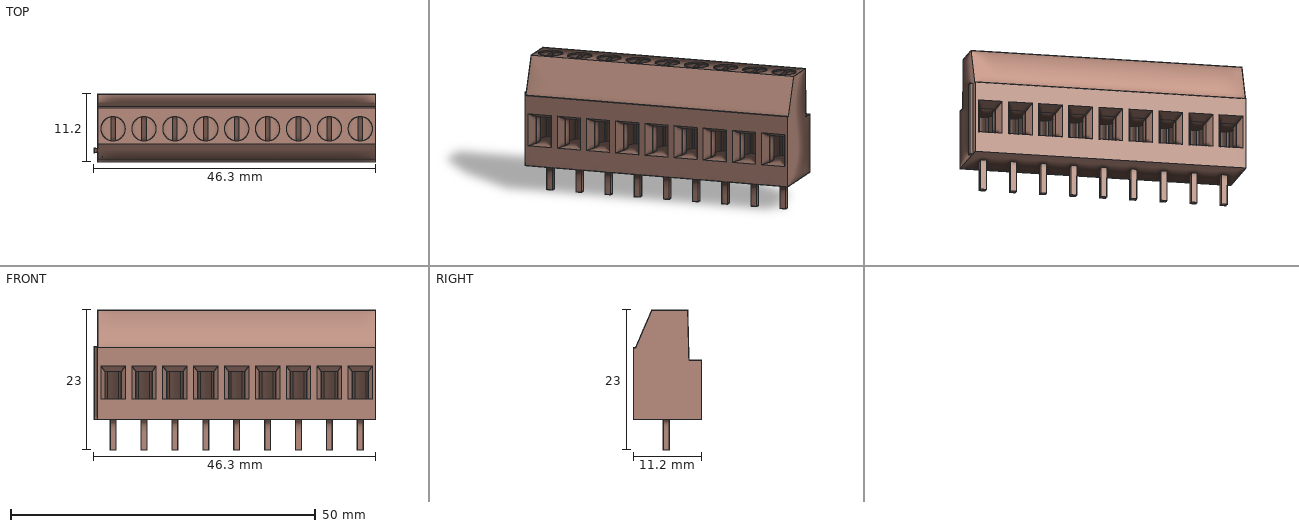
import cadquery as cq
import math


pole_count = 9
pitch = 5.08
body_length = pole_count * pitch
pole_xs = [(i + 0.5) * pitch for i in range(pole_count)]

body_depth = 11.2
body_height = 18.0
front_height = 11.85
front_ledge = 0.35
top_front = 3.0
top_back = 8.95
shoulder_y = 9.15
shoulder_height = 9.8

rib_thickness = 0.57
rib_y = 1.95
rib_tip_width = 0.85
rib_root_width = 0.55
rib_height = 12.0

pin_size = 1.0
pin_length = 5.0
pin_y = 5.4

screw_y = 5.5
screw_hole_diameter = 4.0
screw_recess = 0.25
slot_width = 0.75
slot_depth = 1.0

entry_floor = 3.4
entry_width = 4.0
entry_height = 5.4
throat_width = 2.6
throat_height = 4.55
funnel_end_width = 2.75
funnel_depth = 2.1
clamp_bore_diameter = 3.8
bore_opening_width = 1.8
bore_reach = math.sqrt((clamp_bore_diameter / 2) ** 2 - (bore_opening_width / 2) ** 2)
throat_end = screw_y + bore_reach


def make_housing():
    profile = [
        (0, 0),
        (body_depth, 0),
        (body_depth, shoulder_height),
        (shoulder_y, shoulder_height),
        (top_back, body_height),
        (top_front, body_height),
        (front_ledge, front_height),
        (0, front_height),
    ]
    return cq.Workplane("YZ").polyline(profile).close().extrude(body_length)


def make_rib():
    """Dovetail rib, narrowest where it meets the housing."""
    profile = [
        (0, rib_y - rib_root_width / 2),
        (-rib_thickness, rib_y - rib_tip_width / 2),
        (-rib_thickness, rib_y + rib_tip_width / 2),
        (0, rib_y + rib_root_width / 2),
    ]
    return cq.Workplane("XY").polyline(profile).close().extrude(rib_height)


def make_pin(x):
    return (
        cq.Workplane("XY")
        .center(x, pin_y)
        .rect(pin_size, pin_size)
        .extrude(-pin_length)
    )


def make_wire_entry(x):
    """Flat-floored funnel, straight throat and the upright clamp bore crossing it."""
    funnel = (
        cq.Workplane("XZ", origin=(x, 0, entry_floor))
        .center(0, entry_height / 2)
        .rect(entry_width, entry_height)
        .workplane(offset=-funnel_depth)
        .center(0, (throat_height - entry_height) / 2)
        .rect(funnel_end_width, throat_height)
        .loft(ruled=True)
    )
    throat = cq.Workplane("XY").box(
        throat_width, throat_end, throat_height, centered=(True, False, False)
    ).translate((x, 0, entry_floor))
    bore = (
        cq.Workplane("XY", origin=(x, screw_y, entry_floor))
        .circle(clamp_bore_diameter / 2)
        .extrude(throat_height)
    )
    return funnel.union(throat).union(bore)


def make_screw_cut(x):
    """Recess above a sunken screw head and the driver slot across the head."""
    top = cq.Workplane("XY", origin=(x, screw_y, body_height))
    recess = top.circle(screw_hole_diameter / 2).extrude(-screw_recess)
    head = (
        top.workplane(offset=-screw_recess)
        .circle(screw_hole_diameter / 2)
        .extrude(-slot_depth)
    )
    slot_bar = (
        top.workplane(offset=-screw_recess)
        .rect(slot_width, screw_hole_diameter)
        .extrude(-slot_depth)
    )
    return recess.union(head.intersect(slot_bar))


result = make_housing().union(make_rib())
for pole_x in pole_xs:
    result = result.union(make_pin(pole_x))
    result = result.cut(make_wire_entry(pole_x))
    result = result.cut(make_screw_cut(pole_x))